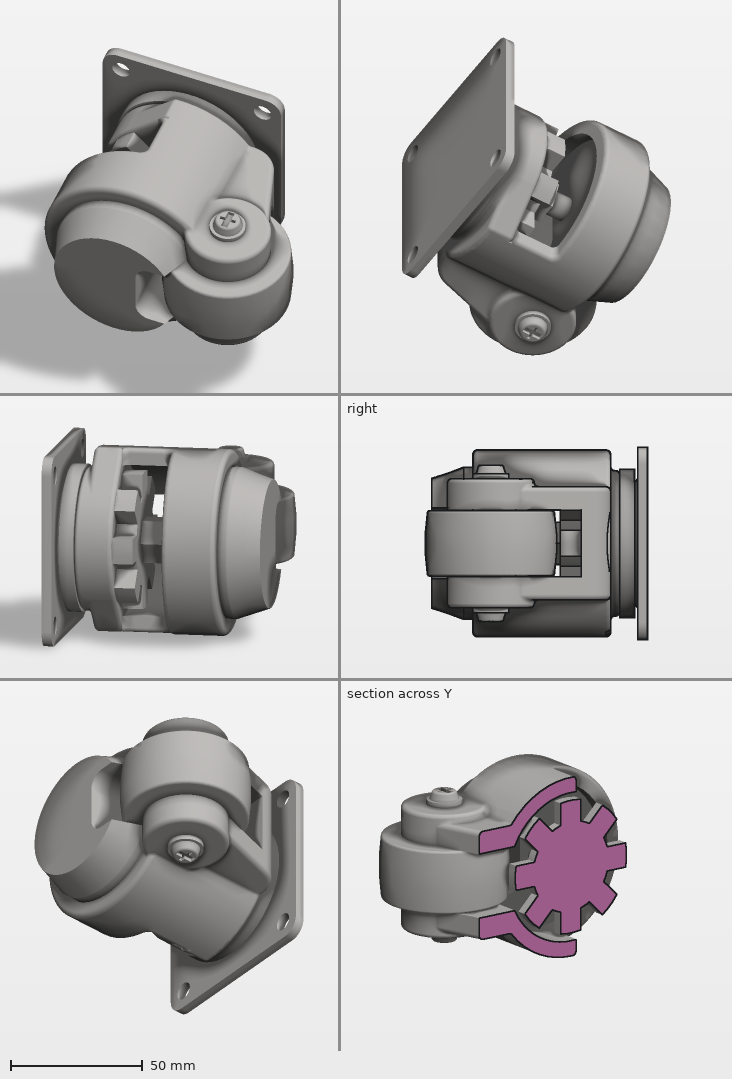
import math

import cadquery as cq


plate_side = 73.04
plate_thickness = 3.8
plate_corner_radius = 6.2
plate_hole_spacing = 58.0
plate_hole_diameter = 7.2

neck_radius_at_plate = 24.4
neck_radius_at_disc = 23.1
disc_radius = 28.2
disc_top = 5.0
disc_bottom = 10.6

housing_radius = 35.5
housing_top = 14.0
housing_bottom = 66.35
housing_edge_fillet = 2.0
collar_radius = 27.6
collar_edge_fillet = 1.6
collar_root_fillet = 1.5
bore_radius = 29.3
cheek_angle = 133.0
cheek_edge_fillet = 2.0

window_top = 25.3
window_wall_x = -2.6
window_bottom_at_wall = 43.9
window_bottom_slope = 3.45
window_corner_radius = 2.6
window_edge_fillet = 1.8

star_bottom = 33.2
star_tip_radius = 26.4
star_root_radius = 17.9
star_tooth_width = 9.8
star_tooth_count = 8
nut_bottom = 41.4
nut_across_flats = 16.1
stem_radius = 4.8

foot_radius = 28.9
foot_face_radius = 24.6
foot_top = 50.0
foot_cone_top = 69.7
foot_bottom = 82.0
foot_notch_x = 8.7
foot_notch_width = 27.0
foot_notch_radius = 5.7

overall_length_y = 84.5
wheel_radius = 25.0
wheel_edge_radius = 24.0
wheel_width = 24.8
wheel_edge_fillet = 1.0
wheel_overhang_x = 62.36
axle_x = wheel_overhang_x - wheel_radius
axle_depth = overall_length_y - wheel_radius
axle_radius = 5.0

fork_gap = 25.2
arm_outer_z = 21.5
arm_top_radius = 12.0
arm_lean = 17.6
arm_edge_offset = 14.9
arm_edge_fillet = 2.0
hub_radius = 16.5
hub_outer_z = 24.5
hub_edge_fillet = 1.7
arm_root_fillet = 1.5

washer_radius = 6.85
washer_outer_z = 26.4
screw_base_radius = 5.6
screw_crown_radius = 4.6
screw_outer_z = 29.7
screw_crown_fillet = 1.0
slot_length = 7.6
slot_width = 2.6
cross_slot_length = 6.3
cross_slot_width = 1.3
recess_depth = 1.5

tolerance = 0.1


def at_depth(depth):
    """Workplane across the swivel axis, with its normal pointing down the caster (-Y)."""
    return cq.Workplane("XZ", origin=(0, -depth, 0))


def cylinder(radius, top, bottom):
    return at_depth(top).circle(radius).extrude(bottom - top)


def cone(top_radius, bottom_radius, top, bottom):
    profile = [(0, -top), (top_radius, -top), (bottom_radius, -bottom), (0, -bottom)]
    return cq.Workplane("XY").polyline(profile).close().revolve(360, (0, 0), (0, 1))


def axle_plane(z):
    return cq.Workplane("XY", origin=(axle_x, -axle_depth, z))


def mirrored(half):
    return half.union(half.mirror("XY"))


def box_around(x_range, depth_range, z_range):
    """Selector for whatever is centred inside a block given by its X, depth and Z ranges."""
    low, high = zip(x_range, (-depth_range[1], -depth_range[0]), z_range)
    return cq.selectors.BoxSelector(low, high)


def around(value):
    return (value - tolerance, value + tolerance)


def mounting_plate():
    plate = at_depth(0).rect(plate_side, plate_side).extrude(plate_thickness)
    plate = plate.edges("|Y").fillet(plate_corner_radius)
    holes = (
        at_depth(0)
        .rect(plate_hole_spacing, plate_hole_spacing, forConstruction=True)
        .vertices()
        .circle(plate_hole_diameter / 2)
        .extrude(plate_thickness)
    )
    return plate.cut(holes)


def swivel_bearing():
    neck = cone(neck_radius_at_plate, neck_radius_at_disc, plate_thickness, disc_top)
    return neck.union(cylinder(disc_radius, disc_top, disc_bottom))


def cheek_plan(top, bottom):
    """Housing plan: round on +X, with flat cheeks running tangent into the collar on -X."""
    angle = math.radians(cheek_angle)
    tangent_x = collar_radius * math.cos(angle)
    tangent_z = collar_radius * math.sin(angle)
    far_x = tangent_x + housing_radius * math.sin(angle)
    far_z = tangent_z - housing_radius * math.cos(angle)
    outline = [
        (tangent_x, tangent_z),
        (far_x, far_z),
        (far_z, far_z),
        (far_z, -far_z),
        (far_x, -far_z),
        (tangent_x, -tangent_z),
    ]
    prism = at_depth(top).polyline(outline).close().extrude(bottom - top)
    prism = prism.intersect(cylinder(housing_radius, top, bottom))
    cheek_ends = box_around((tangent_x / 2, 0), (top, bottom), (-housing_radius, housing_radius))
    prism = prism.edges("|Y").edges(cheek_ends).fillet(cheek_edge_fillet)
    return prism.union(cylinder(collar_radius, top, bottom))


def window():
    reach = 2 * housing_radius
    drop = (reach + window_wall_x) * math.tan(math.radians(window_bottom_slope))
    outline = [
        (-reach, -window_top),
        (window_wall_x, -window_top),
        (window_wall_x, -window_bottom_at_wall),
        (-reach, -window_bottom_at_wall - drop),
    ]
    cutter = cq.Workplane("XY").polyline(outline).close().extrude(reach, both=True)
    return cutter.edges("|Z and >X").fillet(window_corner_radius)


def arm_outline(z, height):
    """Arm blank: level top, rounded shoulder and a straight back edge leaning out to the hub."""
    lean = math.radians(arm_lean)
    normal_x = math.cos(lean)
    normal_y = math.sin(lean)

    def back_edge_x(y):
        return axle_x + (arm_edge_offset - normal_y * (y + axle_depth)) / normal_x

    centre_y = -housing_top - arm_top_radius
    centre_x = back_edge_x(centre_y) - arm_top_radius / normal_x
    middle = (math.pi / 2 + lean) / 2
    return (
        cq.Workplane("XY", origin=(0, 0, z))
        .moveTo(0, -housing_top)
        .lineTo(centre_x, -housing_top)
        .threePointArc(
            (centre_x + arm_top_radius * math.cos(middle), centre_y + arm_top_radius * math.sin(middle)),
            (centre_x + arm_top_radius * normal_x, centre_y + arm_top_radius * normal_y),
        )
        .lineTo(back_edge_x(-axle_depth), -axle_depth)
        .lineTo(0, -axle_depth)
        .close()
        .extrude(height)
    )


def fork():
    arms = arm_outline(-arm_outer_z, 2 * arm_outer_z)
    arms = arms.faces("<Z or >Z").edges().fillet(arm_edge_fillet)
    hub = axle_plane(-hub_outer_z).circle(hub_radius).extrude(2 * hub_outer_z)
    hub = hub.faces("<Z or >Z").edges().fillet(hub_edge_fillet)
    return arms.union(hub)


def head():
    """Cheeked top of the housing with its collar, the rims and the window ceiling rounded."""
    upper = cheek_plan(housing_top, window_top)
    upper = upper.faces(">Y").edges().fillet(housing_edge_fillet)
    across = (-housing_radius, housing_radius)
    ceiling_rim = box_around((-housing_radius, window_wall_x), around(window_top), across)
    upper = upper.edges(ceiling_rim).fillet(window_edge_fillet)
    collar = cylinder(collar_radius, disc_bottom, window_top - window_edge_fillet)
    collar = collar.faces(">Y").edges().fillet(collar_edge_fillet)
    upper = upper.union(collar)
    collar_root = box_around((0, housing_radius / 2), around(housing_top), across)
    return upper.edges(collar_root).fillet(collar_root_fillet)


def skirt():
    """Lower housing: the round skirt with the window cut from its -X side and the rim rounded."""
    lower = cylinder(housing_radius, window_top, housing_bottom)
    lower = lower.faces("<Y").edges().fillet(housing_edge_fillet)
    lower = lower.cut(window())
    window_outline = box_around(
        (-housing_radius, 0),
        (window_top + tolerance, (window_bottom_at_wall + housing_bottom) / 2),
        (-housing_radius, housing_radius),
    )
    seams_along_z = cq.selectors.ParallelDirSelector(cq.Vector(0, 0, 1))
    return lower.edges(window_outline - seams_along_z).fillet(window_edge_fillet)


def joint_band():
    """Solid +X part of the housing wall that carries the head into the skirt."""
    band = cylinder(housing_radius, window_top - 2 * window_edge_fillet, window_top + window_edge_fillet)
    solid_side = cq.Workplane("XY").box(
        2 * housing_radius, 2 * housing_bottom, 2 * housing_radius, centered=(False, True, True)
    )
    return band.intersect(solid_side.translate((window_wall_x + window_edge_fillet, 0, 0)))


def arm_roots(shell):
    """Inside corners where the arms and hubs meet the housing and where each hub leaves its arm."""
    across = (-housing_radius, housing_radius)
    below_arm_top = (housing_top + arm_top_radius, housing_bottom)
    arm_wall_x = math.sqrt(housing_radius**2 - arm_outer_z**2)
    hub_wall_x = math.sqrt(housing_radius**2 - hub_outer_z**2)
    wall_corners = box_around((hub_wall_x - tolerance, arm_wall_x + tolerance), below_arm_top, across)
    roots = shell.edges("|Y").edges(wall_corners)
    for side in (-1, 1):
        hub_ring = box_around(
            (arm_wall_x, axle_x + hub_radius), (housing_top, axle_depth), around(side * arm_outer_z)
        )
        roots = roots.add(shell.edges("%CIRCLE").edges(hub_ring).edges("<Y"))
    return roots


def housing():
    shell = head().union(skirt()).union(joint_band()).union(fork())
    shell = arm_roots(shell).fillet(arm_root_fillet)
    bore = cylinder(bore_radius, window_top, housing_bottom)
    fork_slot = (
        at_depth(window_top)
        .center(wheel_overhang_x / 2, 0)
        .rect(wheel_overhang_x, fork_gap)
        .extrude(overall_length_y - window_top)
    )
    return shell.cut(bore).cut(fork_slot)


def star_wheel():
    thickness = star_bottom - window_top
    star = cylinder(star_root_radius, window_top, star_bottom)
    for index in range(star_tooth_count // 2):
        spoke = at_depth(window_top).rect(2 * star_tip_radius, star_tooth_width).extrude(thickness)
        star = star.union(spoke.rotate((0, 0, 0), (0, 1, 0), index * 360 / star_tooth_count))
    return star.intersect(cylinder(star_tip_radius, window_top, star_bottom))


def nut_and_stem():
    across_corners = nut_across_flats / math.cos(math.pi / 6)
    nut = at_depth(star_bottom).polygon(6, across_corners).extrude(nut_bottom - star_bottom)
    return nut.union(cylinder(stem_radius, nut_bottom, foot_cone_top))


def foot():
    pad = cylinder(foot_radius, foot_top, foot_cone_top)
    pad = pad.union(cone(foot_radius, foot_face_radius, foot_cone_top, foot_bottom))
    notch = (
        at_depth(foot_top)
        .center(foot_notch_x + foot_radius / 2, 0)
        .rect(foot_radius, foot_notch_width)
        .extrude(foot_bottom - foot_top)
        .edges("|Y and <X")
        .fillet(foot_notch_radius)
    )
    return pad.cut(notch)


def wheel():
    half_width = wheel_width / 2
    tyre = (
        cq.Workplane("XZ")
        .moveTo(0, -half_width)
        .lineTo(wheel_edge_radius, -half_width)
        .threePointArc((wheel_radius, 0), (wheel_edge_radius, half_width))
        .lineTo(0, half_width)
        .close()
        .revolve(360, (0, 0), (0, 1))
    )
    tyre = tyre.faces("<Z or >Z").edges().fillet(wheel_edge_fillet)
    axle = cq.Workplane("XY").circle(axle_radius).extrude(hub_outer_z, both=True)
    return tyre.union(axle).translate((axle_x, -axle_depth, 0))


def axle_screw():
    washer = axle_plane(hub_outer_z).circle(washer_radius).extrude(washer_outer_z - hub_outer_z)
    head = (
        axle_plane(washer_outer_z)
        .circle(screw_base_radius)
        .workplane(offset=screw_outer_z - washer_outer_z)
        .circle(screw_crown_radius)
        .loft()
    )
    head = head.faces(">Z").edges().fillet(screw_crown_fillet)
    recess_floor = axle_plane(screw_outer_z - recess_depth)
    slot = recess_floor.rect(slot_width, slot_length).extrude(recess_depth)
    cross_slot = recess_floor.rect(cross_slot_length, cross_slot_width).extrude(recess_depth)
    return washer.union(head).cut(slot).cut(cross_slot)


result = (
    mounting_plate()
    .union(swivel_bearing())
    .union(housing())
    .union(star_wheel())
    .union(nut_and_stem())
    .union(foot())
    .union(wheel())
    .union(mirrored(axle_screw()))
)